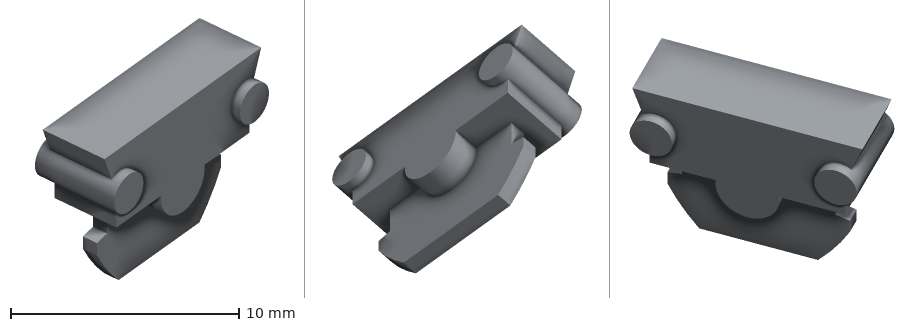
import cadquery as cq
import math


body_width = 3.5
body_top_length = 10.85
body_base_length = 9.2
flank_angle = 20.0
body_height = 4.15

boss_radius = 1.5
boss_drop = 0.2

pin_radius = 1.0
pin_length = 4.5
pin_spacing = 8.7
pin_depth = 2.2

fin_thickness = 0.8
waist_length = 7.2
lip_length = 8.6
fin_base_length = 5.6
total_height = 8.6
lip_inner_depth = 5.64
lip_outer_depth = 5.77
lip_bottom_depth = 6.43
fin_curve_bulge = 0.09

body_base_z = boss_drop
top_z = body_base_z + body_height
flank_height = (body_top_length - body_base_length) / 2 / math.tan(math.radians(flank_angle))


def make_body():
    """Block with a flared upper part, extruded across the width."""
    half_top = body_top_length / 2
    half_base = body_base_length / 2
    flank_base_z = top_z - flank_height
    return (
        cq.Workplane("YZ")
        .moveTo(-half_top, top_z)
        .lineTo(half_top, top_z)
        .lineTo(half_base, flank_base_z)
        .lineTo(half_base, body_base_z)
        .lineTo(-half_base, body_base_z)
        .lineTo(-half_base, flank_base_z)
        .close()
        .extrude(body_width / 2, both=True)
    )


def make_cylinder(y, z, radius, length):
    """Cylinder along X, centred on the middle plane."""
    return cq.Workplane("YZ").center(y, z).circle(radius).extrude(length / 2, both=True)


def make_fin():
    """Thin hooked plate with two outward lips and curved lower ends."""
    half_waist = waist_length / 2
    half_lip = lip_length / 2
    half_base = fin_base_length / 2
    lip_inner_z = top_z - lip_inner_depth
    lip_outer_z = top_z - lip_outer_depth
    lip_bottom_z = top_z - lip_bottom_depth
    base_z = top_z - total_height
    return (
        cq.Workplane("YZ")
        .moveTo(-half_waist, body_base_z)
        .lineTo(half_waist, body_base_z)
        .lineTo(half_waist, lip_inner_z)
        .lineTo(half_lip, lip_outer_z)
        .lineTo(half_lip, lip_bottom_z)
        .sagittaArc((half_base, base_z), fin_curve_bulge)
        .lineTo(-half_base, base_z)
        .sagittaArc((-half_lip, lip_bottom_z), fin_curve_bulge)
        .lineTo(-half_lip, lip_outer_z)
        .lineTo(-half_waist, lip_inner_z)
        .close()
        .extrude(fin_thickness / 2, both=True)
    )


result = make_body().union(make_fin())
result = result.union(make_cylinder(0, 0, boss_radius, body_width))
for side in (-1, 1):
    pin = make_cylinder(side * pin_spacing / 2, top_z - pin_depth, pin_radius, pin_length)
    result = result.union(pin)